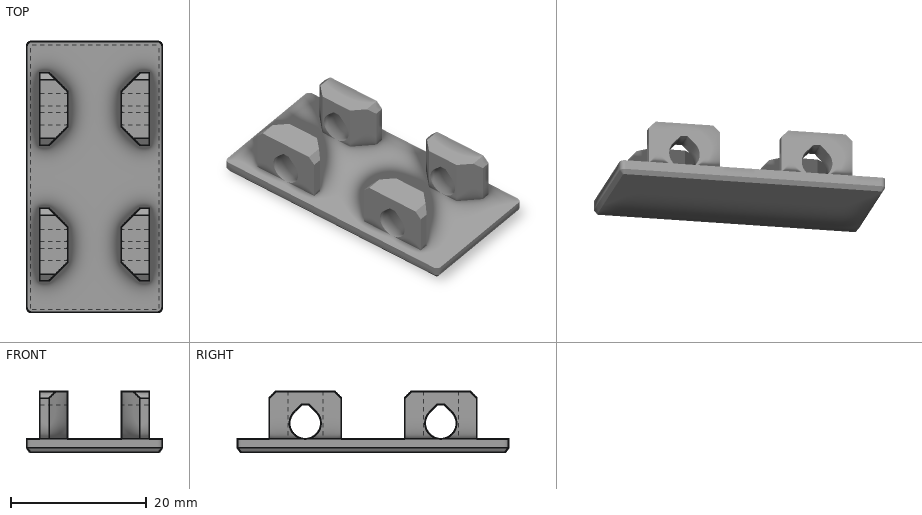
import cadquery as cq
import math

PLATE_WIDTH = 20.0
PLATE_LENGTH = 40.0
PLATE_THICKNESS = 2.0
PLATE_CORNER_RADIUS = 0.745
PLATE_CHAMFER_HEIGHT = 0.65
PLATE_CHAMFER_INSET = 0.5

TOTAL_HEIGHT = 9.0
LUG_OUTER_X = 8.1
LUG_THICKNESS = 4.15
LUG_LENGTH = 10.68
LUG_SIDE_CHAMFER = 2.75
LUG_TOP_CHAMFER = 1.0
LUG_CENTER_Y = PLATE_LENGTH / 4

HOLE_RADIUS = 2.3
HOLE_CENTER_Z = PLATE_THICKNESS + HOLE_RADIUS
HOLE_ROOF_WIDTH = 1.0


def make_plate():
    """Rounded rectangular plate, chamfered around its bottom edge."""
    plate = cq.Workplane("XY").box(
        PLATE_WIDTH, PLATE_LENGTH, PLATE_THICKNESS, centered=(True, True, False)
    )
    plate = plate.edges("|Z").fillet(PLATE_CORNER_RADIUS)
    return plate.faces("<Z").chamfer(PLATE_CHAMFER_HEIGHT, PLATE_CHAMFER_INSET)


def make_hole(center_y):
    """Teardrop cutter across the full plate width: 45 degree flanks under a flat roof."""
    tangent = HOLE_RADIUS * math.sin(math.radians(45))
    half_roof = HOLE_ROOF_WIDTH / 2
    roof_height = HOLE_RADIUS * math.sqrt(2) - half_roof
    return (
        cq.Workplane("YZ", origin=(-PLATE_WIDTH / 2, center_y, HOLE_CENTER_Z))
        .moveTo(-half_roof, roof_height)
        .lineTo(-tangent, tangent)
        .threePointArc((0, -HOLE_RADIUS), (tangent, tangent))
        .lineTo(half_roof, roof_height)
        .close()
        .extrude(PLATE_WIDTH)
    )


def make_left_lug(center_y):
    """Lug on the -X side: inner corners cut at 45 degrees, top ends chamfered, hole cut through."""
    half_length = LUG_LENGTH / 2
    inner_half_length = half_length - LUG_SIDE_CHAMFER
    land = LUG_THICKNESS - LUG_SIDE_CHAMFER
    lug = (
        cq.Workplane("XY", origin=(-LUG_OUTER_X, center_y, PLATE_THICKNESS))
        .moveTo(0, -half_length)
        .lineTo(land, -half_length)
        .lineTo(LUG_THICKNESS, -inner_half_length)
        .lineTo(LUG_THICKNESS, inner_half_length)
        .lineTo(land, half_length)
        .lineTo(0, half_length)
        .close()
        .extrude(TOTAL_HEIGHT - PLATE_THICKNESS)
    )
    lug = lug.faces(">Z").edges("<Y or >Y").chamfer(LUG_TOP_CHAMFER)
    return lug.cut(make_hole(center_y))


result = make_plate()
for lug_y in (-LUG_CENTER_Y, LUG_CENTER_Y):
    left_lug = make_left_lug(lug_y)
    result = result.union(left_lug).union(left_lug.mirror("YZ"))